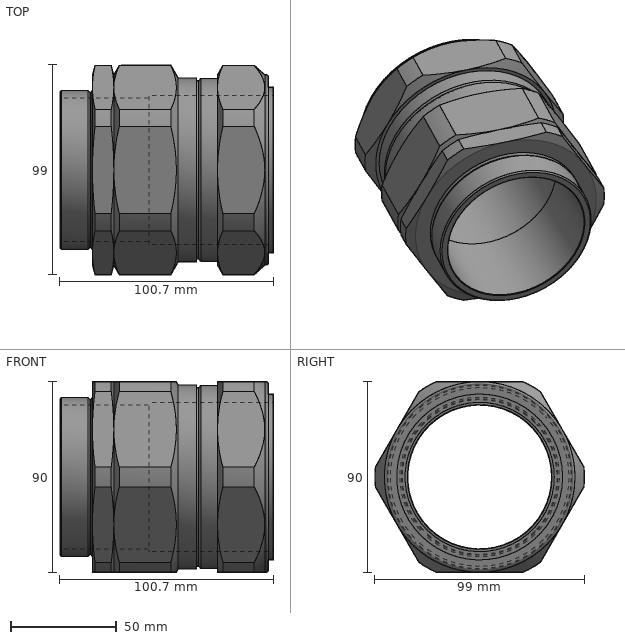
import cadquery as cq
import math

total_length = 100.7
hex_across_flats = 90.0
hex_across_corners = 99.0
flat_radius = hex_across_flats / 2
corner_radius = hex_across_corners / 2

thread_radius = 37.7
thread_end = 14.2
thread_front_chamfer = 0.7
thread_rear_chamfer = 1.1
relief_radius = 36.7
relief_end = 14.5

locknut_start = 15.3
locknut_end = 25.4
body_hex_end = 55.8
cap_hex_start = 74.3
cap_hex_end = 98.4

locknut_chamfer_angle = 15
hex_chamfer_angle = 30
cap_front_chamfer_angle = 48

cap_rim_length = 1.7
cap_rim_fillet = 1.1

rear_collar_radius = 43.5
rear_collar_end = 64.5
front_collar_radius = 43.3
front_collar_start = 65.5
front_collar_chamfer = 1.1
collar_groove_radius = front_collar_radius - front_collar_chamfer

seal_ring_radius = 39.2
bore_radius = 33.9
bore_entry_chamfer = 0.3
rear_bore_start = 41.9
rear_bore_radius = 35.2


def cylinder(radius, start, end):
    """Round bar along X between two positions."""
    return cq.Workplane("YZ").workplane(offset=start).circle(radius).extrude(end - start)


def revolve_about_x(points):
    """Solid of revolution about X from (x, radius) points."""
    closed = [(points[0][0], 0)] + points + [(points[-1][0], 0)]
    return cq.Workplane("XY").polyline(closed).close().revolve(360, (0, 0, 0), (1, 0, 0))


def chamfer_length(angle, end_radius):
    """Length along X of a corner chamfer that narrows to end_radius."""
    return (corner_radius - end_radius) * math.tan(math.radians(angle))


def hexagon(start, end, start_angle, end_angle, end_radius=flat_radius, rim_length=0):
    """Hexagon with corners on Y, turned to the corner radius and chamfered at both ends."""
    prism = (
        cq.Workplane("YZ")
        .workplane(offset=start)
        .polygon(6, hex_across_flats / math.cos(math.radians(30)))
        .extrude(end - start)
    )
    cone_end = end - rim_length
    envelope = revolve_about_x([
        (start, flat_radius),
        (start + chamfer_length(start_angle, flat_radius), corner_radius),
        (cone_end - chamfer_length(end_angle, end_radius), corner_radius),
        (cone_end, end_radius),
    ])
    return prism.intersect(envelope)


thread = (
    cylinder(thread_radius, 0, thread_end)
    .faces("<X").chamfer(thread_front_chamfer)
    .faces(">X").chamfer(thread_rear_chamfer)
)
relief = revolve_about_x([
    (thread_end, relief_radius),
    (relief_end, relief_radius),
    (locknut_start, thread_radius),
])

locknut = hexagon(locknut_start, locknut_end, locknut_chamfer_angle, locknut_chamfer_angle)
body_hex = hexagon(
    locknut_end, body_hex_end, hex_chamfer_angle, hex_chamfer_angle, end_radius=rear_collar_radius
)

rear_collar = cylinder(rear_collar_radius, body_hex_end, rear_collar_end)
groove_floor = cylinder(collar_groove_radius, rear_collar_end, front_collar_start)
front_collar = (
    cylinder(front_collar_radius, front_collar_start, cap_hex_start)
    .faces("<X").chamfer(front_collar_chamfer)
)

cap_hex = hexagon(
    cap_hex_start, cap_hex_end, hex_chamfer_angle, cap_front_chamfer_angle, rim_length=cap_rim_length
)
cap_rim = (
    cylinder(flat_radius, cap_hex_end - cap_rim_length, cap_hex_end)
    .faces(">X").edges().fillet(cap_rim_fillet)
)
seal_ring = cylinder(seal_ring_radius, cap_hex_end, total_length)

sections = [
    relief, locknut, body_hex, rear_collar, groove_floor, front_collar, cap_hex, cap_rim, seal_ring,
]
gland = thread
for section in sections:
    gland = gland.union(section)

bore = revolve_about_x([
    (0, bore_radius + bore_entry_chamfer),
    (bore_entry_chamfer, bore_radius),
    (rear_bore_start, bore_radius),
    (rear_bore_start, rear_bore_radius),
    (total_length, rear_bore_radius),
])

result = gland.cut(bore)